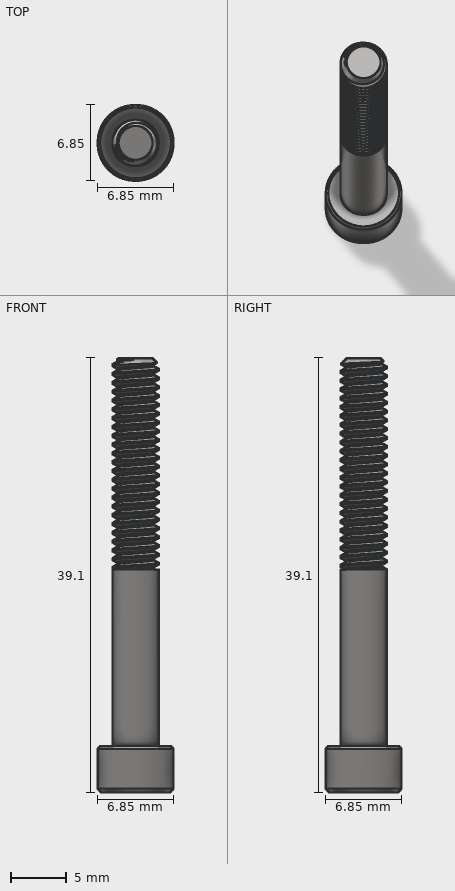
import cadquery as cq
import math

total_length = 39.1
head_diameter = 6.85
shank_diameter = 4.2
head_height = shank_diameter
head_bottom_chamfer = 0.35
head_top_chamfer = 0.25

thread_start = 20.05
thread_length = total_length - thread_start
thread_turns = 24
thread_pitch = thread_length / thread_turns
thread_depth = 0.43
flank_angle = 30.0
crest_flat = thread_pitch / 6
groove_lead = 0.15
tip_radius = 1.52

shank_radius = shank_diameter / 2


def make_head():
    head = cq.Workplane("XY").circle(head_diameter / 2).extrude(head_height)
    head = head.faces("<Z").chamfer(head_bottom_chamfer)
    return head.faces(">Z").chamfer(head_top_chamfer)


def make_plain_shank():
    return cq.Workplane("XY").circle(shank_radius).extrude(thread_start)


def groove_corners():
    """Corners of the groove section as (radius, height from the groove centre)."""
    overshoot = 0.05
    root_radius = shank_radius - thread_depth
    outer_radius = shank_radius + overshoot
    flank_slope = math.tan(math.radians(flank_angle))
    surface_half_width = (thread_pitch - crest_flat) / 2
    root_half_width = surface_half_width - thread_depth * flank_slope
    outer_half_width = surface_half_width + overshoot * flank_slope
    return [
        (root_radius, -root_half_width),
        (outer_radius, -outer_half_width),
        (outer_radius, outer_half_width),
        (root_radius, root_half_width),
    ]


def make_thread_groove():
    """Helical groove bounded by ruled faces, one turn too long at each end of the thread."""
    helix_bottom = thread_start + groove_lead - thread_pitch
    helix_height = thread_length + 2 * thread_pitch
    helices = []
    for radius, height in groove_corners():
        helix = cq.Wire.makeHelix(thread_pitch, helix_height, radius)
        helices.append(helix.translate(cq.Vector(0, 0, helix_bottom + height)))

    faces = []
    for helix, next_helix in zip(helices, helices[1:] + helices[:1]):
        faces += cq.Face.makeRuledSurface(helix, next_helix).Faces()
    for end in (0, 1):
        outline = cq.Wire.makePolygon([helix.positionAt(end) for helix in helices], close=True)
        faces.append(cq.Face.makeFromWires(outline))
    return cq.Workplane(cq.Solid.makeSolid(cq.Shell.makeShell(faces)))


def make_threaded_end():
    blank_base = cq.Workplane("XY").workplane(offset=thread_start)
    blank = blank_base.circle(shank_radius).extrude(thread_length)
    blank = blank.faces(">Z").chamfer(shank_radius - tip_radius)
    return blank.cut(make_thread_groove())


result = make_head().union(make_plain_shank()).union(make_threaded_end())